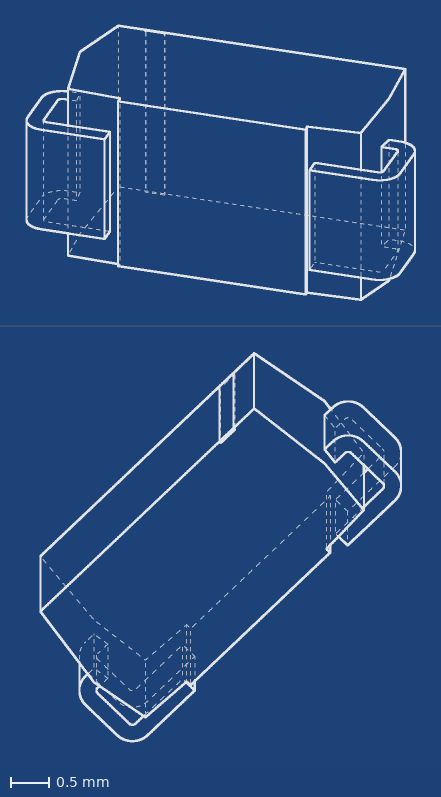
import cadquery as cq
import math

HOUSING_LENGTH = 4.24
HOUSING_HEIGHT = 2.67
BACK_DEPTH = 1.145
FRONT_DEPTH = 0.945
BACK_INSET = 0.155
DRAFT_ANGLE = math.degrees(math.atan(BACK_INSET / BACK_DEPTH))

PAD_LENGTH = 2.57
RELIEF_INNER_DEPTH = 0.875
RELIEF_OUTER_DEPTH = 0.84
RELIEF_OUTER_X = 2.01

OVERALL_LENGTH = 5.11
LEAD_DEPTH = 1.145
LEAD_WIDTH = 1.46
LEAD_THICKNESS = 0.225
LEAD_FOOT = 1.15
BEND_INNER_RADIUS = 0.055
BEND_OUTER_RADIUS = BEND_INNER_RADIUS + LEAD_THICKNESS

BAND_WIDTH = 0.26
BAND_CENTRE_X = -1.455
BAND_THICKNESS = 0.025


def make_half(depth, back):
    """Half of the housing, drawn in by the draft angle away from the parting plane."""
    plane = cq.Plane((0, 0, 0), (1, 0, 0), (0, 1 if back else -1, 0))
    return (
        cq.Workplane(plane)
        .rect(HOUSING_LENGTH, HOUSING_HEIGHT)
        .extrude(depth, taper=DRAFT_ANGLE)
    )


def make_end_relief(side):
    """Sloping cutter for one end of the front face; side is -1 or +1."""
    slope = (RELIEF_INNER_DEPTH - RELIEF_OUTER_DEPTH) / (RELIEF_OUTER_X - PAD_LENGTH / 2)
    end_x = HOUSING_LENGTH / 2
    end_depth = RELIEF_OUTER_DEPTH - slope * (end_x - RELIEF_OUTER_X)
    return (
        cq.Workplane("XY")
        .moveTo(side * PAD_LENGTH / 2, -RELIEF_INNER_DEPTH)
        .lineTo(side * end_x, -end_depth)
        .lineTo(side * end_x, -FRONT_DEPTH)
        .lineTo(side * PAD_LENGTH / 2, -FRONT_DEPTH)
        .close()
        .extrude(HOUSING_HEIGHT / 2, both=True)
    )


def make_moulding():
    """Complete outer form of the housing, before the band recess."""
    moulding = make_half(BACK_DEPTH, True).union(make_half(FRONT_DEPTH, False))
    for side in (-1, 1):
        moulding = moulding.cut(make_end_relief(side))
    return moulding


def make_band(moulding):
    """Thin strip across the back face, with ends that follow the housing draft."""
    strip = (
        cq.Workplane("XY")
        .center(BAND_CENTRE_X, BACK_DEPTH - BAND_THICKNESS / 2)
        .rect(BAND_WIDTH, BAND_THICKNESS)
        .extrude(HOUSING_HEIGHT / 2, both=True)
    )
    return moulding.intersect(strip)


def make_lead(side, moulding):
    """Bent strip that starts on the housing end and folds across its front; side is -1 or +1."""
    outer_x = OVERALL_LENGTH / 2
    inner_x = outer_x - LEAD_THICKNESS
    foot_x = outer_x - LEAD_FOOT
    arm_x = HOUSING_LENGTH / 2 - LEAD_THICKNESS * BACK_INSET / BACK_DEPTH
    foot_inner_y = LEAD_THICKNESS - LEAD_DEPTH
    outer_diagonal = BEND_OUTER_RADIUS * (1 - math.sqrt(0.5))
    inner_diagonal = BEND_INNER_RADIUS * (1 - math.sqrt(0.5))

    def at(x, y):
        return (side * x, y)

    lead = (
        cq.Workplane("XY")
        .moveTo(*at(arm_x, 0))
        .lineTo(*at(outer_x - BEND_OUTER_RADIUS, 0))
        .threePointArc(at(outer_x - outer_diagonal, -outer_diagonal), at(outer_x, -BEND_OUTER_RADIUS))
        .lineTo(*at(outer_x, BEND_OUTER_RADIUS - LEAD_DEPTH))
        .threePointArc(
            at(outer_x - outer_diagonal, outer_diagonal - LEAD_DEPTH),
            at(outer_x - BEND_OUTER_RADIUS, -LEAD_DEPTH),
        )
        .lineTo(*at(foot_x, -LEAD_DEPTH))
        .lineTo(*at(foot_x, foot_inner_y))
        .lineTo(*at(inner_x - BEND_INNER_RADIUS, foot_inner_y))
        .threePointArc(
            at(inner_x - inner_diagonal, foot_inner_y + inner_diagonal),
            at(inner_x, foot_inner_y + BEND_INNER_RADIUS),
        )
        .lineTo(*at(inner_x, -LEAD_THICKNESS - BEND_INNER_RADIUS))
        .threePointArc(
            at(inner_x - inner_diagonal, -LEAD_THICKNESS - inner_diagonal),
            at(inner_x - BEND_INNER_RADIUS, -LEAD_THICKNESS),
        )
        .lineTo(*at(arm_x, -LEAD_THICKNESS))
        .close()
        .extrude(LEAD_WIDTH / 2, both=True)
    )
    return lead.cut(moulding)


moulding = make_moulding()
band = make_band(moulding)
housing = moulding.cut(band)
leads = [make_lead(side, moulding) for side in (-1, 1)]

result = cq.Compound.makeCompound(
    [housing.solids().val(), band.solids().val(), *[lead.solids().val() for lead in leads]]
)